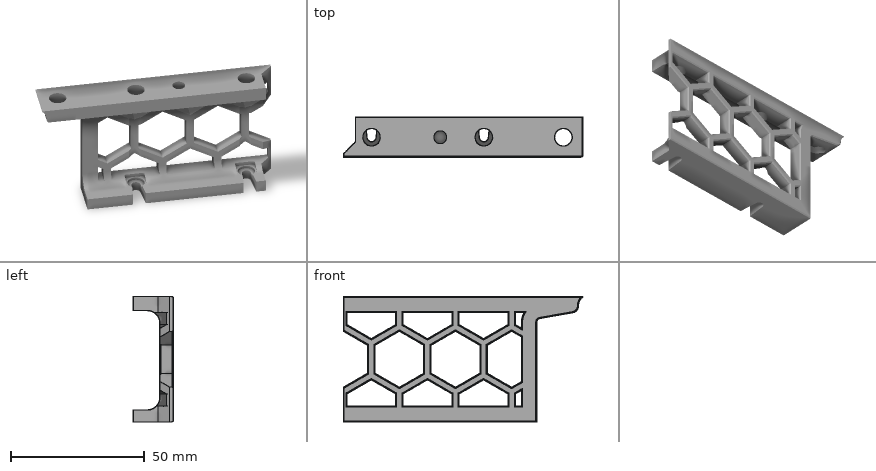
import cadquery as cq
import math

arm_tip_x = 89.4
depth = 15.0
height = 47.0
column_x = 72.2
front_chamfer = 0.4

web_thickness = 5.1
top_flange_thickness = 5.35
bottom_flange_thickness = 4.6
flange_fillet = 4.5

miter_start_y = 1.4
miter_length = 4.4

arm_slope = math.radians(10)
arm_root_z = 38.53
arm_root_radius = 1.5
arm_nose_x = 87.8
arm_nose_radius = 2.6
tip_bevel = 0.2


window_flats = 18.2
window_pitch = 21.0
middle_row_x = -0.2
rim = 6.0
column_rim = 5.75

hole_y = 7.5
bore_diameter = 6.5
arm_hole_x = 82.15
driver_hole_xs = (10.4, 52.4)
screw_seat_z = 3.6
slot_end_radius = 1.65
slot_mouth_width = 4.8
head_pocket_width = 7.5
head_pocket_corner = 0.8
pin_hole_x = 36.1
pin_hole_diameter = 4.8
pin_hole_depth = 4.0

flange_reach = bottom_flange_thickness + flange_fillet

root_center_x = column_x + arm_root_radius
root_center_z = (
    arm_root_z + arm_root_radius * math.tan(arm_slope) - arm_root_radius / math.cos(arm_slope)
)


def polar(center_x, center_z, radius, angle):
    """Point on a circle in the XZ plane."""
    return center_x + radius * math.cos(angle), center_z + radius * math.sin(angle)


def along_y(x, z, y_start=0.0):
    """XZ workplane whose extrusions run toward +Y."""
    return cq.Workplane(cq.Plane((x, y_start, z), xDir=(1, 0, 0), normal=(0, -1, 0)))


def front_profile():
    """Panel and arm outline, extruded over the full depth."""
    root_end_angle = math.pi / 2 + arm_slope
    root_end = polar(root_center_x, root_center_z, arm_root_radius, root_end_angle)
    root_mid = polar(root_center_x, root_center_z, arm_root_radius, (root_end_angle + math.pi) / 2)

    nose_center_x = arm_nose_x - arm_nose_radius
    nose_center_z = (
        arm_root_z
        + (nose_center_x - column_x) * math.tan(arm_slope)
        + arm_nose_radius / math.cos(arm_slope)
    )
    nose_start_angle = arm_slope - math.pi / 2
    nose_start = polar(nose_center_x, nose_center_z, arm_nose_radius, nose_start_angle)
    nose_mid = polar(nose_center_x, nose_center_z, arm_nose_radius, nose_start_angle / 2)

    bevel_rise = height - tip_bevel - nose_center_z
    bevel_run = arm_tip_x - arm_nose_x
    hollow_radius = (bevel_rise**2 + bevel_run**2) / (2 * bevel_run)
    hollow_center_x = arm_nose_x + hollow_radius
    tip_angle = math.pi - math.asin((height - nose_center_z) / hollow_radius)
    tip = polar(hollow_center_x, nose_center_z, hollow_radius, tip_angle)
    hollow_mid = polar(hollow_center_x, nose_center_z, hollow_radius, (math.pi + tip_angle) / 2)
    return (
        along_y(0, 0)
        .lineTo(column_x, 0)
        .lineTo(column_x, root_center_z)
        .threePointArc(root_mid, root_end)
        .lineTo(*nose_start)
        .threePointArc(nose_mid, (arm_nose_x, nose_center_z))
        .threePointArc(hollow_mid, tip)
        .lineTo(0, height)
        .close()
        .extrude(-depth)
    )


def tip_wedge():
    """Sharp corner removed from the tip of the arm."""
    reach = arm_tip_x - arm_nose_x
    return (
        along_y(arm_tip_x, height)
        .moveTo(-tip_bevel, 0)
        .lineTo(reach, -tip_bevel - reach)
        .lineTo(reach, 0)
        .close()
        .extrude(-depth)
    )


def channel():
    """Space behind the web and between the flanges."""
    opening = height - top_flange_thickness - bottom_flange_thickness
    overrun = flange_fillet
    return (
        cq.Workplane("XY")
        .box(arm_tip_x, depth - web_thickness + overrun, opening, centered=False)
        .translate((0, web_thickness, bottom_flange_thickness))
        .edges("|X and <Y")
        .fillet(flange_fillet)
    )


def miter():
    """Corner removed from the left end behind the front lip."""
    return (
        cq.Workplane("XY")
        .moveTo(0, miter_start_y)
        .lineTo(miter_length, miter_start_y + miter_length)
        .lineTo(miter_length, depth)
        .lineTo(0, depth)
        .close()
        .extrude(height)
    )


def window_field():
    """Area in which the honeycomb may open the web."""
    right_x = column_x - column_rim
    field = along_y(0, 0).moveTo(-window_pitch, rim).lineTo(right_x, rim)
    corner_radius = arm_root_radius + column_rim
    top_z = height - rim
    corner_angle = math.pi - math.asin((top_z - root_center_z) / corner_radius)
    corner_end = polar(root_center_x, root_center_z, corner_radius, corner_angle)
    corner_mid = polar(root_center_x, root_center_z, corner_radius, (corner_angle + math.pi) / 2)
    return (
        field.lineTo(right_x, root_center_z)
        .threePointArc(corner_mid, corner_end)
        .lineTo(-window_pitch, top_z)
        .close()
        .extrude(-depth)
    )


def windows():
    """Three staggered rows of upright hexagons, trimmed to the field."""
    across_corners = window_flats * 2 / math.sqrt(3)
    row_rise = window_pitch * math.sqrt(3) / 2
    centers = []
    for row in (-1, 0, 1):
        for column in range(4):
            x = middle_row_x + (column + abs(row) / 2) * window_pitch
            centers.append((x, height / 2 + row * row_rise))
    turned = cq.Workplane("XY")
    for x, z in centers:
        hexagon = along_y(x, z).transformed(rotate=(0, 0, 30)).polygon(6, across_corners)
        turned = turned.add(hexagon.extrude(-depth))
    return turned.combine().intersect(window_field())


def vertical_hole(x, diameter, bottom_z):
    return (
        cq.Workplane("XY", origin=(x, hole_y, bottom_z)).circle(diameter / 2).extrude(height - bottom_z)
    )


def head_pocket(x):
    """Rounded square clearance for a screw head, sunk to the top of the bottom flange."""
    return (
        cq.Workplane("XY", origin=(x, hole_y, bottom_flange_thickness))
        .rect(head_pocket_width, head_pocket_width)
        .extrude(flange_fillet)
        .edges("|Z")
        .fillet(head_pocket_corner)
    )


def screw_slot(x):
    """Round-ended slot through the bottom flange, flaring toward its open back."""
    mouth = (slot_mouth_width / 2, depth - hole_y)
    flare = math.atan2(mouth[1], mouth[0]) - math.acos(slot_end_radius / math.hypot(*mouth))
    tangent_x, tangent_y = polar(0, 0, slot_end_radius, flare)
    return (
        cq.Workplane("XY", origin=(x, hole_y, 0))
        .moveTo(-mouth[0], mouth[1])
        .lineTo(-tangent_x, tangent_y)
        .threePointArc((0, -slot_end_radius), (tangent_x, tangent_y))
        .lineTo(*mouth)
        .close()
        .extrude(flange_reach)
    )


body = front_profile().cut(channel()).cut(miter()).cut(windows())
front_edges = body.faces("<Y").edges().filter(lambda edge: edge.Center().x > 1e-3)
body = body.newObject(front_edges.vals()).chamfer(front_chamfer)

body = body.cut(tip_wedge())

for x in driver_hole_xs:
    body = body.cut(vertical_hole(x, bore_diameter, screw_seat_z))
    body = body.cut(head_pocket(x)).cut(screw_slot(x))
body = body.cut(vertical_hole(arm_hole_x, bore_diameter, 0))
result = body.cut(vertical_hole(pin_hole_x, pin_hole_diameter, height - pin_hole_depth))